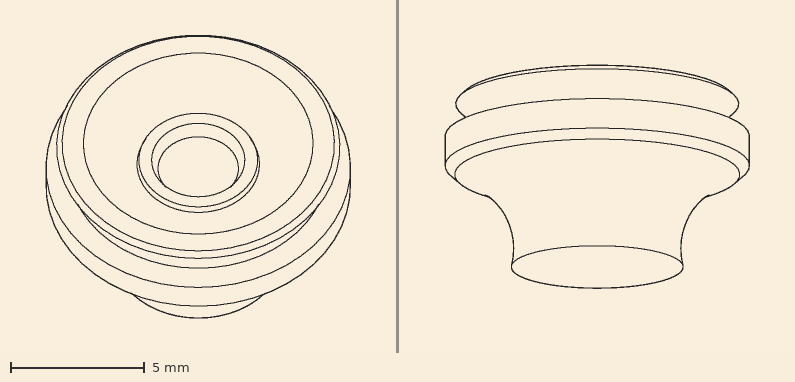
import cadquery as cq
import math

height = 6.5
rim_edge_z = 6.3
groove_top_z = 5.56
groove_waist_z = 5.38
shoulder_z = 5.15
flange_top_z = 5.05
flange_bottom_z = 3.91
waist_z = 0.71

flange_radius = 5.7
rim_radius = 5.3
rim_top_radius = 5.1
groove_top_radius = 4.57
groove_radius = 4.51
shoulder_radius = 4.87
waist_radius = 3.14

chamfer_height = 0.33
stem_curve_radius = 2.98

bowl_radius = 4.3
bowl_mid_radius = 3.35
bowl_mid_z = 5.78
boss_base_radius = 2.29
boss_base_z = 5.24
boss_radius = 2.22
boss_top_z = 5.5
recess_radius = 1.74
recess_floor_radius = 1.5
recess_floor_z = 4.98

crown_mid_radius = (flange_radius + shoulder_radius) / 2
crown_bulge = 0.02
crown_mid_z = (flange_top_z + shoulder_z) / 2 + crown_bulge

stem_center_radius = waist_radius + stem_curve_radius
stem_top_z = flange_bottom_z - chamfer_height


def stem_radius_at(z):
    return stem_center_radius - math.sqrt(stem_curve_radius**2 - (z - waist_z) ** 2)


stem_mid_z = (waist_z + stem_top_z) / 2

half_section = (
    cq.Workplane("XZ")
    .moveTo(0, 0)
    .lineTo(stem_radius_at(0), 0)
    .threePointArc((stem_radius_at(stem_mid_z), stem_mid_z), (stem_radius_at(stem_top_z), stem_top_z))
    .lineTo(flange_radius, flange_bottom_z)
    .lineTo(flange_radius, flange_top_z)
    .threePointArc((crown_mid_radius, crown_mid_z), (shoulder_radius, shoulder_z))
    .threePointArc((groove_radius, groove_waist_z), (groove_top_radius, groove_top_z))
    .lineTo(rim_radius, rim_edge_z)
    .lineTo(rim_top_radius, height)
    .lineTo(bowl_radius, height)
    .threePointArc((bowl_mid_radius, bowl_mid_z), (boss_base_radius, boss_base_z))
    .lineTo(boss_radius, boss_top_z)
    .lineTo(recess_radius, boss_top_z)
    .lineTo(recess_floor_radius, recess_floor_z)
    .lineTo(0, recess_floor_z)
    .close()
)

result = half_section.revolve(360, (0, 0, 0), (0, 1, 0))